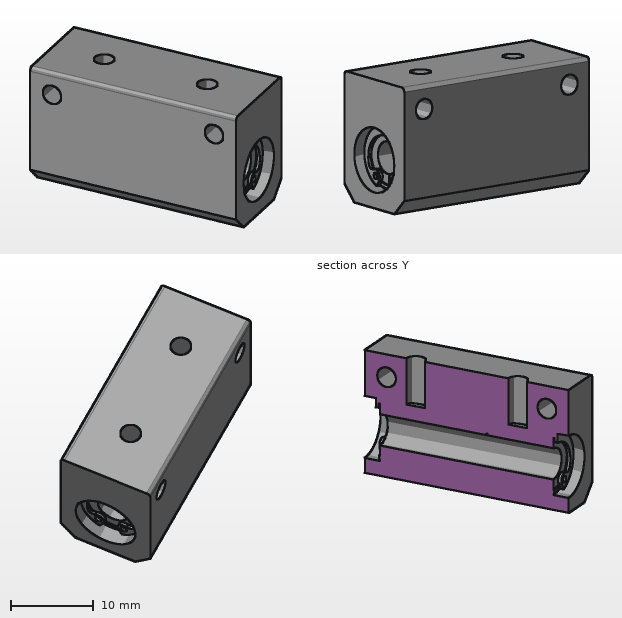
import cadquery as cq
import math

length = 28.0
width = 12.0
height = 16.0
top_round = 0.5
bottom_chamfer = 2.0

hole_dia = 2.5
side_hole_inset = 3.0
top_hole_spacing = length / 2

bore_height = 6.0
bore_dia = 8.0
shaft_dia = 4.0

ring_depth = 1.5
ring_thickness = 0.45
ring_opening_radius = 3.22
ring_opening_drop = 0.4
ring_shoulder_drop = 1.75
ring_corner_round = 0.67
lug_offset = 1.7
lug_drop = 2.45
lug_radius = 0.8
lug_hole_dia = 0.8
lug_edge_angle = 30.0

bearing_edge_chamfer = 0.15
seal_dia = 6.7
seal_recess = 0.1

bearing_depth = ring_depth + ring_thickness


def end_plane(depth):
    """Plane centred on the bore, at a depth behind the -X face, facing into the block."""
    return cq.Workplane(cq.Plane((depth - length / 2, 0, bore_height), (0, 1, 0), (1, 0, 0)))


def make_block():
    block = cq.Workplane("XY").box(length, width, height, centered=(True, True, False))
    block = block.edges("|X and >Z").fillet(top_round)
    return block.edges("|X and <Z").chamfer(bottom_chamfer)


def make_side_holes():
    spacing = length - 2 * side_hole_inset
    return (
        cq.Workplane("XZ", origin=(0, 0, height - side_hole_inset))
        .rarray(spacing, 0.28, 2, 1)
        .circle(hole_dia / 2)
        .extrude(width, both=True)
    )


def make_top_holes():
    """Holes from the top face that stop on the round outside of the bearing."""
    holes = (
        cq.Workplane("XY", origin=(0, 0, bore_height))
        .rarray(top_hole_spacing, 0.28, 2, 1)
        .circle(hole_dia / 2)
        .extrude(height - bore_height)
    )
    bearing = end_plane(0).circle(bore_dia / 2).extrude(length)
    return holes.cut(bearing)


def make_ring_opening(depth):
    """Open area inside the retaining ring, including the gap between its lugs."""
    opening = end_plane(ring_depth).center(0, -ring_opening_drop).circle(ring_opening_radius).extrude(depth)
    above_shoulder = (
        end_plane(ring_depth)
        .center(0, bore_dia / 2 - ring_shoulder_drop)
        .rect(bore_dia, bore_dia)
        .extrude(depth)
    )
    opening = opening.intersect(above_shoulder).edges("|X").fillet(ring_corner_round)

    angle = math.radians(lug_edge_angle)
    tangent_x = lug_offset - lug_radius * math.cos(angle)
    tangent_z = -lug_drop - lug_radius * math.sin(angle)
    gap_bottom = -bore_dia / 2
    gap_bottom_x = tangent_x + (tangent_z - gap_bottom) * math.tan(angle)
    gap = (
        end_plane(ring_depth)
        .moveTo(lug_offset, -ring_shoulder_drop)
        .lineTo(lug_offset, -lug_drop)
        .lineTo(tangent_x, tangent_z)
        .lineTo(gap_bottom_x, gap_bottom)
        .lineTo(-gap_bottom_x, gap_bottom)
        .lineTo(-tangent_x, tangent_z)
        .lineTo(-lug_offset, -lug_drop)
        .lineTo(-lug_offset, -ring_shoulder_drop)
        .close()
        .extrude(depth)
    )
    lug_centers = [(-lug_offset, -lug_drop), (lug_offset, -lug_drop)]
    lugs = end_plane(ring_depth).pushPoints(lug_centers).circle(lug_radius).extrude(depth)
    lug_holes = end_plane(ring_depth).pushPoints(lug_centers).circle(lug_hole_dia / 2).extrude(depth)
    inside_bore = end_plane(ring_depth).circle(bore_dia / 2).extrude(depth)
    return opening.union(gap).cut(lugs).intersect(inside_bore).union(lug_holes)


def make_bearing_end():
    """Bearing end with a chamfered rim."""
    body = end_plane(bearing_depth).circle(bore_dia / 2).extrude(2 * bearing_edge_chamfer)
    return body.faces("<X").chamfer(bearing_edge_chamfer)


def make_end_recess():
    """Counterbore, ring opening and the sunken seal face, which runs behind the ring."""
    counterbore = end_plane(0).circle(bore_dia / 2).extrude(ring_depth)
    opening = make_ring_opening(ring_thickness + bearing_edge_chamfer).cut(make_bearing_end())
    seal_face = end_plane(bearing_depth).circle(seal_dia / 2).extrude(seal_recess)
    return counterbore.union(opening).union(seal_face)


end_recess = make_end_recess()

result = (
    make_block()
    .cut(make_side_holes())
    .cut(make_top_holes())
    .cut(end_plane(0).circle(shaft_dia / 2).extrude(length))
    .cut(end_recess)
    .cut(end_recess.mirror("YZ"))
)